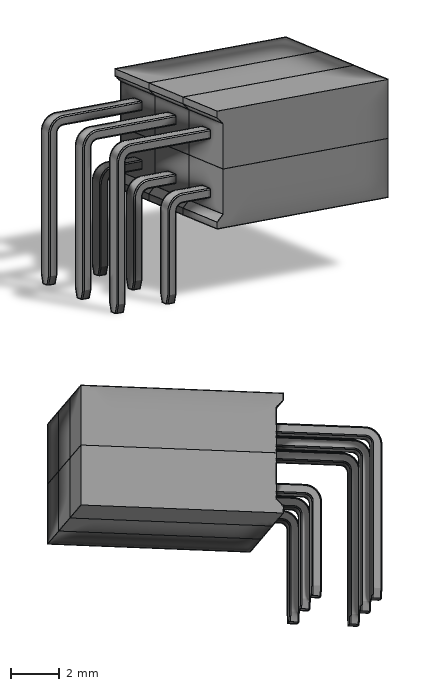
import cadquery as cq
columns = 3
overall_width = 7.61
overall_length = 12.84
overall_height = 8.28
pitch = overall_width / columns

housing_length = 8.51
lip_depth = 0.3
lip_thickness = 0.3

pin_width = 0.64
pin_thickness = 0.41
pin_edge_chamfer = 0.05
bend_inner_radius = 0.31
tip_length = 0.4
tip_width = 0.4

recess_y = lip_depth
rear_y = housing_length
row_center_z = pitch / 2
bend_radius = bend_inner_radius + pin_thickness / 2
pin_end_z = pitch - overall_height
upper_pin_y = housing_length - overall_length + pin_thickness / 2
lower_pin_y = upper_pin_y + pitch


def make_housing_block():
    """Upper-row block: a bar with a sloped lip along the top of its recessed front face."""
    outline = [
        (recess_y, 0),
        (rear_y, 0),
        (rear_y, pitch),
        (0, pitch),
        (0, pitch - lip_thickness),
        (recess_y, pitch - lip_thickness - lip_depth),
    ]
    return cq.Workplane("YZ").polyline(outline).close().extrude(pitch / 2, both=True)


def make_bent_bar(leg_y, row_z):
    """Sharp-edged bar that leaves the recessed face along -Y, then bends down to the pin end."""
    path = (
        cq.Workplane("YZ")
        .moveTo(recess_y, row_z)
        .lineTo(leg_y + bend_radius, row_z)
        .tangentArcPoint((leg_y, row_z - bend_radius), relative=False)
        .lineTo(leg_y, pin_end_z)
    )
    section = cq.Workplane("XZ", origin=(0, recess_y, row_z)).rect(pin_width, pin_thickness)
    return section.sweep(path)


def make_tip_envelope():
    """Plate as wide as a pin, with both sides tapering in towards the pin end."""
    half_width = pin_width / 2
    half_tip = tip_width / 2
    taper_start_z = pin_end_z + tip_length
    outline = [
        (-half_tip, pin_end_z),
        (half_tip, pin_end_z),
        (half_width, taper_start_z),
        (half_width, pitch),
        (-half_width, pitch),
        (-half_width, taper_start_z),
    ]
    return cq.Workplane("XZ").polyline(outline).close().extrude(overall_length, both=True)


def make_pin(leg_y, row_z):
    """Bent bar with a tapered tip, chamfered along its lengthwise edges."""
    pin = make_bent_bar(leg_y, row_z).intersect(make_tip_envelope())
    lengthwise_edges = pin.edges("not(|X)").filter(lambda edge: edge.Length() > 1.01 * pin_thickness)
    return lengthwise_edges.chamfer(pin_edge_chamfer)


def make_upper_contact():
    """Upper housing block with its long pin, as one solid."""
    return make_housing_block().union(make_pin(upper_pin_y, row_center_z))


def make_lower_contact():
    """Lower housing block, lip at the bottom, with its short pin, as one solid."""
    return make_housing_block().mirror("XY").union(make_pin(lower_pin_y, -row_center_z))


upper_contacts = []
lower_contacts = []
for column in range(columns):
    column_x = (column - (columns - 1) / 2) * pitch
    upper_contacts.append(make_upper_contact().translate((column_x, 0, 0)).val())
    lower_contacts.append(make_lower_contact().translate((column_x, 0, 0)).val())

result = cq.Compound.makeCompound([*upper_contacts, *lower_contacts])